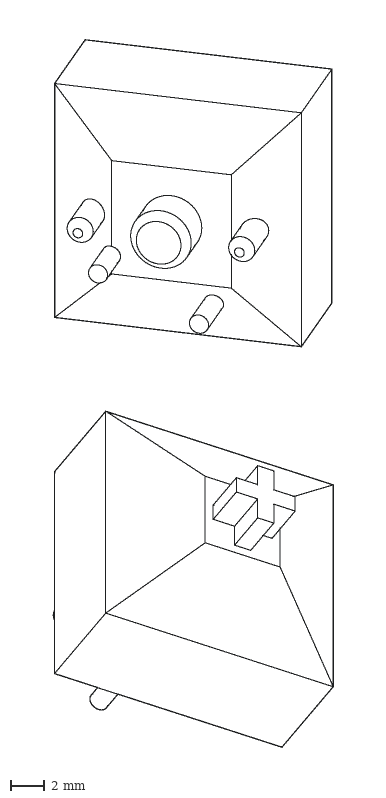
import cadquery as cq

body_width = 15.5
body_depth = 6.68
front_taper_depth = 1.4
front_face_width = 7.5
back_taper_depth = 3.0
back_face_width = 5.1

stem_length = 3.0
stem_span = 4.0
stem_arm_thickness = 1.1

grid_pitch = 1.27
post_projection = 2.8
centre_post_diameter = 3.8
side_post_diameter = 1.64
side_post_offset = 4 * grid_pitch
post_tip_length = 0.5
centre_tip_diameter = 2.8
side_tip_diameter = 0.6
pin_diameter = 1.2
pin_positions = [(-3 * grid_pitch, -2 * grid_pitch), (2 * grid_pitch, -4 * grid_pitch)]

total_length = 16.9
tip_y = -total_length / 2
front_face_y = tip_y + post_projection
body_front_y = front_face_y + front_taper_depth
body_back_y = body_front_y + body_depth
back_face_y = body_back_y + back_taper_depth


def plane_at(y, x=0, z=0):
    """Plane facing -Y, with local X along +X and local Y along +Z."""
    return cq.Workplane(cq.Plane(origin=(x, y, z), xDir=(1, 0, 0), normal=(0, -1, 0)))


def block(width, height, start_y, end_y):
    return plane_at(end_y).rect(width, height).extrude(end_y - start_y)


def square_taper(start_y, start_width, end_y, end_width):
    return (
        plane_at(end_y)
        .rect(end_width, end_width)
        .workplane(offset=end_y - start_y)
        .rect(start_width, start_width)
        .loft(ruled=True)
    )


def pin(x, z, diameter):
    """Straight pin rooted inside the housing and ending at the front tips."""
    return plane_at(body_front_y, x, z).circle(diameter / 2).extrude(body_front_y - tip_y)


def post(x, diameter, tip_diameter):
    """Pin at mid-height whose end is bevelled down to the tip diameter."""
    tip_inset = (diameter - tip_diameter) / 2
    return pin(x, 0, diameter).faces("<Y").chamfer(post_tip_length, tip_inset)


result = block(body_width, body_width, body_front_y, body_back_y)
result = result.union(square_taper(front_face_y, front_face_width, body_front_y, body_width))
result = result.union(square_taper(body_back_y, body_width, back_face_y, back_face_width))

stem_end_y = back_face_y + stem_length
result = result.union(block(stem_span, stem_arm_thickness, back_face_y, stem_end_y))
result = result.union(block(stem_arm_thickness, stem_span, back_face_y, stem_end_y))

result = result.union(post(0, centre_post_diameter, centre_tip_diameter))
for side in (-1, 1):
    result = result.union(post(side * side_post_offset, side_post_diameter, side_tip_diameter))

for pin_x, pin_z in pin_positions:
    result = result.union(pin(pin_x, pin_z, pin_diameter))